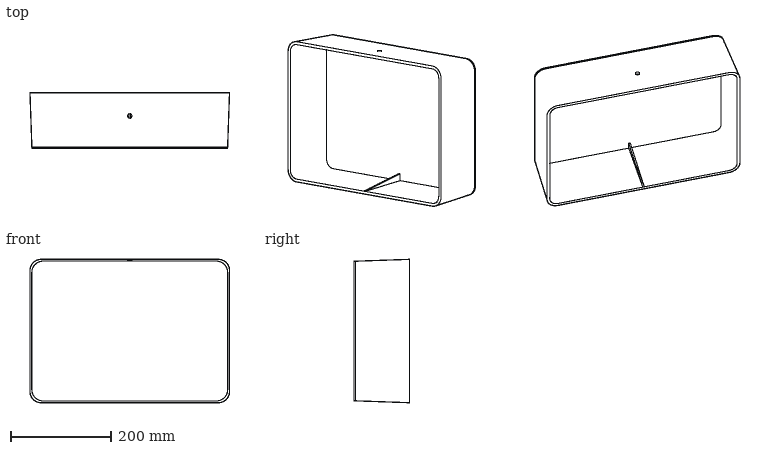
import cadquery as cq
import math

BACK_WIDTH = 399.3
BACK_HEIGHT = 287.0
DEPTH = 112.0
DRAFT_ANGLE = 2.0
CORNER_RADIUS = 22.8

PANEL_THICKNESS = 3.0
WALL_THICKNESS = 6.0

HOLE_FROM_BACK = 46.7
HOLE_DIAMETER = 8.5

RIB_WIDTH = 3.0
RIB_FRONT_HEIGHT = 14.0

BACK_Y = DEPTH / 2
FRONT_Y = -DEPTH / 2
PANEL_BACK_Y = FRONT_Y + PANEL_THICKNESS
HOUSING_DEPTH = BACK_Y - PANEL_BACK_Y
DRAFT_SLOPE = math.tan(math.radians(DRAFT_ANGLE))
HOLE_Y = BACK_Y - HOLE_FROM_BACK


def drafted_block(back_y, length, wall_inset=0.0):
    """Rounded block narrowing toward -Y, set inside the outer envelope by wall_inset."""
    side_inset = wall_inset + (BACK_Y - back_y) * DRAFT_SLOPE
    block = (
        cq.Workplane("XZ", origin=(0, back_y, 0))
        .rect(BACK_WIDTH - 2 * side_inset, BACK_HEIGHT - 2 * side_inset)
        .extrude(length, taper=DRAFT_ANGLE)
    )
    corner_edges = block.edges("not(#Y)")
    return corner_edges.fillet(CORNER_RADIUS - wall_inset)


def make_rib():
    """Center rib, tall at the panel and fading out at the back, with its foot sunk into the wall."""
    back_floor_z = -BACK_HEIGHT / 2 + WALL_THICKNESS
    front_floor_z = back_floor_z + HOUSING_DEPTH * DRAFT_SLOPE
    foot_depth = WALL_THICKNESS / 2
    return (
        cq.Workplane("YZ")
        .moveTo(BACK_Y, back_floor_z)
        .lineTo(PANEL_BACK_Y, front_floor_z + RIB_FRONT_HEIGHT)
        .lineTo(PANEL_BACK_Y, front_floor_z - foot_depth)
        .lineTo(BACK_Y, back_floor_z - foot_depth)
        .close()
        .extrude(RIB_WIDTH / 2, both=True)
    )


def make_top_hole():
    """Vertical cylinder from the middle of the housing up through the top wall."""
    return (
        cq.Workplane("XY", origin=(0, HOLE_Y, 0))
        .circle(HOLE_DIAMETER / 2)
        .extrude(BACK_HEIGHT / 2)
    )


def make_housing():
    """Four drafted walls, open at the back and at the front where the panel sits."""
    outside = drafted_block(BACK_Y, HOUSING_DEPTH)
    cavity = drafted_block(BACK_Y, HOUSING_DEPTH, WALL_THICKNESS)
    frame = outside.cut(cavity)
    return frame.union(make_rib()).cut(make_top_hole())


def make_front_panel():
    return drafted_block(PANEL_BACK_Y, PANEL_THICKNESS)


housing = make_housing()
front_panel = make_front_panel()

result = cq.Compound.makeCompound([housing.val(), front_panel.val()])